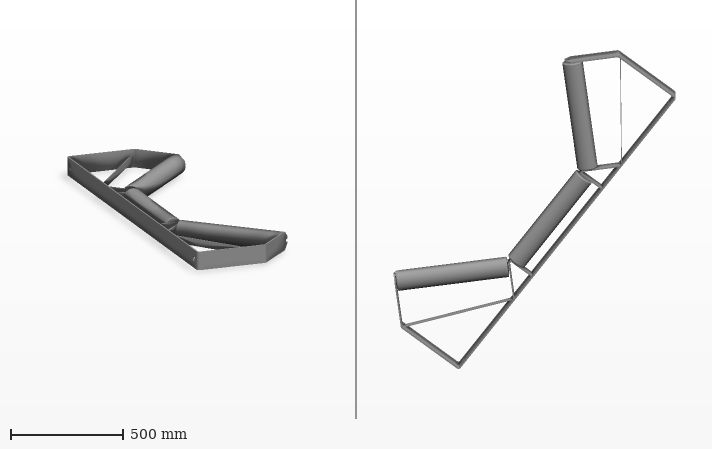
import cadquery as cq
import math

STRIP = 6.0
BEND_RADIUS = 13.0

FRAME_LENGTH = 1600.0
FRAME_BOTTOM = 11.0
FRAME_TOP = 96.0
ARM_TIP_Y = 498.0
ARM_TIP_CHAMFER = 27.0
HOLE_DIAMETER = 22.0
HOLE_X = 754.0

ROLLER_DIAMETER = 91.0
ROLLER_LENGTH = 500.0
ROLLER_END_RADIUS = 5.0
SHAFT_DIAMETER = 20.0
SHAFT_FLATS = 15.0
SHAFT_LENGTH = 520.0
CENTER_ROLLER_Y = 100.0
WING_X = 469.0
WING_ANGLE = 45.0
WING_DROP = 5.0

BRACKET_BOTTOM = 20.0
BRACKET_TOP = 74.0
BRACKET_PEAK_Y = 126.0

BRACE_WIDTH = 34.0
BRACE_THICKNESS = 3.0
BRACE_WALL_Y = 315.0
BRACE_BASE_X = 403.0

HALF_LENGTH = FRAME_LENGTH / 2
HALF_SHAFT = SHAFT_LENGTH / 2
FRAME_MID_Z = (FRAME_BOTTOM + FRAME_TOP) / 2
CENTER_ROLLER_Z = ROLLER_DIAMETER / 2
WING_Z = CENTER_ROLLER_Z + WING_DROP / 2
WING_TILT = math.degrees(math.asin(WING_DROP / ROLLER_LENGTH))

WING_Y = ARM_TIP_Y - (ROLLER_LENGTH + ROLLER_DIAMETER) / 2 * math.sin(math.radians(WING_ANGLE))

SLANT = math.sqrt(2)
ARM_OUTER_RISE = WING_X + WING_Y + HALF_SHAFT * SLANT
ARM_INNER_RISE = ARM_OUTER_RISE - STRIP * SLANT
LEG_OUTER_RISE = WING_X + WING_Y - HALF_SHAFT * SLANT
LEG_INNER_RISE = LEG_OUTER_RISE + STRIP * SLANT


def mirror_x(body):
    return body.mirror("YZ")


def place_center(body):
    return body.translate((0, CENTER_ROLLER_Y, CENTER_ROLLER_Z))


def place_wing(body):
    """Move a body that lies along X at the origin to the axis of the left inclined roller."""
    tilted = body.rotate((0, 0, 0), (0, 1, 0), WING_TILT)
    turned = tilted.rotate((0, 0, 0), (0, 0, 1), -WING_ANGLE)
    return turned.translate((-WING_X, WING_Y, WING_Z))


def upright_edge(x, y):
    return cq.selectors.NearestToPointSelector((x, y, FRAME_MID_Z))


def cylinder_along_x(diameter, length):
    return cq.Workplane("YZ", origin=(-length / 2, 0, 0)).circle(diameter / 2).extrude(length)


def make_shaft():
    flats = cq.Workplane("XY").box(SHAFT_LENGTH, SHAFT_DIAMETER, SHAFT_FLATS)
    return cylinder_along_x(SHAFT_DIAMETER, SHAFT_LENGTH).intersect(flats)


def make_roller():
    shell = cylinder_along_x(ROLLER_DIAMETER, ROLLER_LENGTH)
    shell = shell.faces("<X or >X").edges().fillet(ROLLER_END_RADIUS)
    return shell.union(make_shaft())


def make_brace():
    """Left brace: a thin bar from the side wall, through which its end passes, to the base."""
    run = HALF_LENGTH - BRACE_BASE_X
    rise = BRACE_WALL_Y - STRIP
    bar = (
        cq.Workplane("XY")
        .box(2 * math.hypot(run, rise), BRACE_THICKNESS, BRACE_WIDTH)
        .rotate((0, 0, 0), (0, 0, 1), -math.degrees(math.atan2(rise, run)))
        .translate((-HALF_LENGTH, BRACE_WALL_Y, FRAME_MID_Z))
    )
    inside = (
        cq.Workplane("XY", origin=(-HALF_LENGTH, STRIP, 0))
        .box(HALF_LENGTH, ARM_TIP_Y, FRAME_TOP, centered=False)
    )
    return bar.intersect(inside)


def make_half_frame_strip():
    """Left half of the bent strip: base, side wall and inclined arm."""
    tip_x = ARM_TIP_Y - ARM_OUTER_RISE
    tip_step = STRIP / SLANT
    wall_x = -HALF_LENGTH + STRIP
    outer_shoulder = ARM_OUTER_RISE - HALF_LENGTH
    inner_shoulder = ARM_INNER_RISE + wall_x
    strip = (
        cq.Workplane("XY", origin=(0, 0, FRAME_BOTTOM))
        .polyline([
            (0, 0), (-HALF_LENGTH, 0), (-HALF_LENGTH, outer_shoulder), (tip_x, ARM_TIP_Y),
            (tip_x + tip_step, ARM_TIP_Y - tip_step), (wall_x, inner_shoulder), (wall_x, STRIP), (0, STRIP),
        ])
        .close().extrude(FRAME_TOP - FRAME_BOTTOM)
    )
    for y in (0, outer_shoulder):
        strip = strip.edges(upright_edge(-HALF_LENGTH, y)).fillet(BEND_RADIUS)
    for y in (STRIP, inner_shoulder):
        strip = strip.edges(upright_edge(wall_x, y)).fillet(BEND_RADIUS - STRIP)
    for z in (FRAME_BOTTOM, FRAME_TOP):
        corner = (tip_x + tip_step / 2, ARM_TIP_Y - tip_step / 2, z)
        strip = strip.edges(cq.selectors.NearestToPointSelector(corner)).chamfer(ARM_TIP_CHAMFER)
    return strip


def make_arm_slot():
    """Slot that seats the outer shaft end of the left roller and is open at the arm tip."""
    opening = (
        cq.Workplane("XY", origin=(-HALF_SHAFT, 0, 0))
        .box(ROLLER_DIAMETER, ROLLER_DIAMETER, SHAFT_FLATS, centered=(True, False, True))
    )
    return place_wing(make_shaft().union(opening))


def make_frame(left_brace):
    hole = (
        cq.Workplane("XZ").center(-HOLE_X, FRAME_MID_Z)
        .circle(HOLE_DIAMETER / 2).extrude(-STRIP)
    )
    half = make_half_frame_strip().cut(make_arm_slot()).cut(hole).cut(left_brace)
    return half.union(mirror_x(half)).clean()


def make_bracket():
    """Left bracket: a slanted leg for the inclined roller and an upright leg for the center one."""
    foot_y = STRIP
    peak_inner_y = BRACKET_PEAK_Y - STRIP
    upright_x = -HALF_SHAFT + STRIP
    return (
        cq.Workplane("XY", origin=(0, 0, BRACKET_BOTTOM))
        .polyline([
            (foot_y - LEG_INNER_RISE, foot_y), (BRACKET_PEAK_Y - LEG_INNER_RISE, BRACKET_PEAK_Y),
            (upright_x, BRACKET_PEAK_Y), (upright_x, foot_y), (-HALF_SHAFT, foot_y),
            (-HALF_SHAFT, peak_inner_y), (peak_inner_y - LEG_OUTER_RISE, peak_inner_y),
            (foot_y - LEG_OUTER_RISE, foot_y),
        ])
        .close().extrude(BRACKET_TOP - BRACKET_BOTTOM)
        .cut(place_wing(make_shaft()))
        .cut(place_center(make_shaft()))
    )


brace = make_brace()
frame = make_frame(brace)
bracket = make_bracket()
center_roller = place_center(make_roller())
wing_roller = place_wing(make_roller())

bodies = [frame, center_roller]
for left_body in (bracket, brace, wing_roller):
    bodies += [left_body, mirror_x(left_body)]

result = cq.Compound.makeCompound([body.val() for body in bodies])